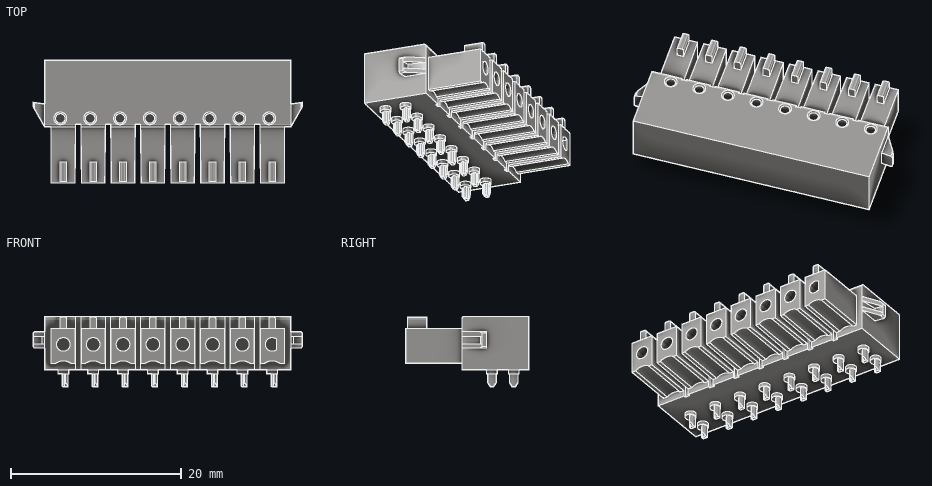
import cadquery as cq
import math


WAY_COUNT = 8
PITCH = 3.5
WAY_XS = [(i - (WAY_COUNT - 1) / 2) * PITCH for i in range(WAY_COUNT)]

BODY_WIDTH = 28.9
BODY_DEPTH = 7.85
BODY_HEIGHT = 6.3
FRONT_ROUND = 0.3
SLOT_WIDTH = 0.6
SLOT_DEPTH = FRONT_ROUND

PLUG_LENGTH = 6.6
PLUG_HEIGHT = 4.1
PLUG_BOTTOM = 0.77
PLUG_TOP = PLUG_BOTTOM + PLUG_HEIGHT
PLUG_HALF_ROOT = (PITCH - SLOT_WIDTH) / 2
PLUG_HALF_TIP = PLUG_HALF_ROOT - 0.07
ARCH_WIDTH = 1.85
ARCH_RISE = 0.3

BORE_RADIUS = 0.8
BORE_Z = 3.0
BORE_DEPTH = PLUG_LENGTH
BORE_FLAT_OFFSET = 0.48

KEY_WIDTH = 0.8
KEY_LENGTH = 2.3
KEY_TIP_GAP = 0.2
KEY_TOP = BODY_HEIGHT - 0.1
KEY_ROUND = 0.2

ACCESS_RADIUS = 0.56
ACCESS_RIM_RADIUS = 0.75
ACCESS_SHIFT = -0.35
ACCESS_Y = 1.0
ACCESS_DEPTH = 2.0

LATCH_REACH = 1.35
LATCH_BOTTOM = 2.55
LATCH_HEIGHT = 1.96
LATCH_ROOT_FRONT = 0.0
LATCH_ROOT_BACK = 2.7
LATCH_TIP_FRONT = 2.38
LATCH_TIP_BACK = 2.9
LATCH_EDGE_CHAMFER = 0.18
POCKET_BOTTOM = 3.07
POCKET_HEIGHT = 0.85
POCKET_BACK_Y = 2.2
POCKET_ROOT_WALL = 0.33

PIN_YS = (BODY_DEPTH - 4.33, BODY_DEPTH - 1.77)
COLLAR_RADIUS = 0.64
COLLAR_HEIGHT = 0.47
PIN_DROP = 1.99
PIN_RADIUS = 0.56
PIN_RIB_X = -0.14
PIN_RIB_HALF_WIDTH = 0.15
PIN_RIB_BULGE = 0.06
PIN_SIDE_ANGLE = math.radians(66)
PIN_PRONG = (0.1, 0.36)
PIN_GROOVE = (0.15, 0.24)
TIP_HALF_WIDTH = 0.19
TIP_HEIGHT = 0.57
TIP_BEVEL = 0.1


def make_body():
    """Block with a rounded upper front edge and slots between the ways."""
    body = cq.Workplane("XY").box(BODY_WIDTH, BODY_DEPTH, BODY_HEIGHT, centered=(True, False, False))
    body = body.edges(">Z and <Y").fillet(FRONT_ROUND)
    for x in WAY_XS[:-1]:
        slot = cq.Workplane("XY").box(SLOT_WIDTH, SLOT_DEPTH, BODY_HEIGHT, centered=(True, False, False))
        body = body.cut(slot.translate((x + PITCH / 2, 0, 0)))
    return body


def make_plug(x, left_tip, right_tip):
    """Plug with given half widths at its tip and an arched groove along its underside."""
    plug = (
        cq.Workplane("XY")
        .workplane(offset=PLUG_BOTTOM)
        .polyline([
            (x - PLUG_HALF_ROOT, SLOT_DEPTH),
            (x - PLUG_HALF_ROOT, 0),
            (x - left_tip, -PLUG_LENGTH),
            (x + right_tip, -PLUG_LENGTH),
            (x + PLUG_HALF_ROOT, 0),
            (x + PLUG_HALF_ROOT, SLOT_DEPTH),
        ])
        .close()
        .extrude(PLUG_HEIGHT)
    )
    arch = (
        cq.Workplane("XZ")
        .moveTo(x - ARCH_WIDTH / 2, PLUG_BOTTOM)
        .threePointArc((x, PLUG_BOTTOM + ARCH_RISE), (x + ARCH_WIDTH / 2, PLUG_BOTTOM))
        .close()
        .extrude(PLUG_LENGTH)
    )
    return plug.cut(arch)


def make_key(x):
    """Key on the top of a plug, with its two long upper edges rounded."""
    height = KEY_TOP - PLUG_TOP
    key = cq.Workplane("XY").box(KEY_WIDTH, KEY_LENGTH, height, centered=(True, False, False))
    key = key.edges("|Y and >Z").fillet(KEY_ROUND)
    return key.translate((x, KEY_TIP_GAP - PLUG_LENGTH, PLUG_TOP))


def make_bore(x, has_flat):
    """Cutter for a wire bore, optionally D-shaped with the flat on the +X side."""
    bore = cq.Workplane("XZ").circle(BORE_RADIUS).extrude(BORE_DEPTH)
    if has_flat:
        flat_side = cq.Workplane("XZ").rect(2 * BORE_RADIUS, 2 * BORE_RADIUS).extrude(BORE_DEPTH)
        bore = bore.cut(flat_side.translate((BORE_FLAT_OFFSET + BORE_RADIUS, 0, 0)))
    return bore.translate((x, BORE_DEPTH - PLUG_LENGTH, BORE_Z))


def make_access_hole(x):
    """Cutter for a blind hole with a conical rim, made by revolving its half profile."""
    rim_depth = ACCESS_RIM_RADIUS - ACCESS_RADIUS
    hole = (
        cq.Workplane("XZ")
        .polyline([
            (0, 0),
            (ACCESS_RIM_RADIUS, 0),
            (ACCESS_RADIUS, -rim_depth),
            (ACCESS_RADIUS, -ACCESS_DEPTH),
            (0, -ACCESS_DEPTH),
        ])
        .close()
        .revolve(360, (0, 0), (0, 1))
    )
    return hole.translate((x + ACCESS_SHIFT, ACCESS_Y, BODY_HEIGHT))


def make_latch():
    """Wedge-shaped latch on the +X end, with a pocket open to its sloping front."""
    root = BODY_WIDTH / 2
    tip = root + LATCH_REACH
    wedge = (
        cq.Workplane("XY")
        .workplane(offset=LATCH_BOTTOM)
        .polyline([
            (root, LATCH_ROOT_FRONT),
            (tip, LATCH_TIP_FRONT),
            (tip, LATCH_TIP_BACK),
            (root, LATCH_ROOT_BACK),
        ])
        .close()
        .extrude(LATCH_HEIGHT)
    )
    wedge = wedge.faces(">X").edges("|Y").chamfer(LATCH_EDGE_CHAMFER)
    pocket = (
        cq.Workplane("XY")
        .workplane(offset=POCKET_BOTTOM)
        .polyline([
            (root, LATCH_ROOT_FRONT),
            (root + POCKET_ROOT_WALL, POCKET_BACK_Y),
            (tip, LATCH_TIP_FRONT),
            (tip, LATCH_ROOT_FRONT),
        ])
        .close()
        .extrude(POCKET_HEIGHT)
    )
    return wedge.cut(pocket)


def make_pin():
    """Collared pin of ribbed section, tapering to its tip and bevelled on the rib side."""
    collar = cq.Workplane("XY").circle(COLLAR_RADIUS).extrude(-COLLAR_HEIGHT)
    prong_x, prong_y = PIN_PRONG
    groove_x, groove_y = PIN_GROOVE
    side_x = PIN_RADIUS * math.cos(PIN_SIDE_ANGLE)
    side_y = PIN_RADIUS * math.sin(PIN_SIDE_ANGLE)
    shank = (
        cq.Workplane("XY")
        .moveTo(PIN_RIB_X + PIN_RIB_BULGE, -PIN_RIB_HALF_WIDTH)
        .threePointArc((PIN_RIB_X, 0), (PIN_RIB_X + PIN_RIB_BULGE, PIN_RIB_HALF_WIDTH))
        .lineTo(groove_x, groove_y)
        .lineTo(prong_x, prong_y)
        .lineTo(side_x, side_y)
        .threePointArc((PIN_RADIUS, 0), (side_x, -side_y))
        .lineTo(prong_x, -prong_y)
        .lineTo(groove_x, -groove_y)
        .close()
        .extrude(-PIN_DROP)
    )
    taper = (
        cq.Workplane("YZ")
        .polyline([
            (-PIN_RADIUS, 0),
            (-PIN_RADIUS, TIP_HEIGHT - PIN_DROP),
            (-TIP_HALF_WIDTH, -PIN_DROP),
            (TIP_HALF_WIDTH, -PIN_DROP),
            (PIN_RADIUS, TIP_HEIGHT - PIN_DROP),
            (PIN_RADIUS, 0),
        ])
        .close()
        .extrude(COLLAR_RADIUS, both=True)
    )
    bevel = (
        cq.Workplane("XZ")
        .polyline([
            (PIN_RIB_X, -PIN_DROP),
            (PIN_RIB_X + TIP_BEVEL, -PIN_DROP),
            (PIN_RIB_X, TIP_BEVEL - PIN_DROP),
        ])
        .close()
        .extrude(PIN_RADIUS, both=True)
    )
    return collar.union(shank.intersect(taper).cut(bevel))


connector = make_body()

for x in WAY_XS:
    left_tip = PLUG_HALF_ROOT if x == WAY_XS[0] else PLUG_HALF_TIP
    right_tip = PLUG_HALF_ROOT if x == WAY_XS[-1] else PLUG_HALF_TIP
    connector = connector.union(make_plug(x, left_tip, right_tip)).union(make_key(x))

for x in WAY_XS:
    connector = connector.cut(make_bore(x, has_flat=x == WAY_XS[-1]))
    connector = connector.cut(make_access_hole(x))

latch = make_latch()
connector = connector.union(latch).union(latch.mirror("YZ"))

pin = make_pin()
for x in WAY_XS:
    for y in PIN_YS:
        connector = connector.union(pin.translate((x, y, 0)))

result = connector